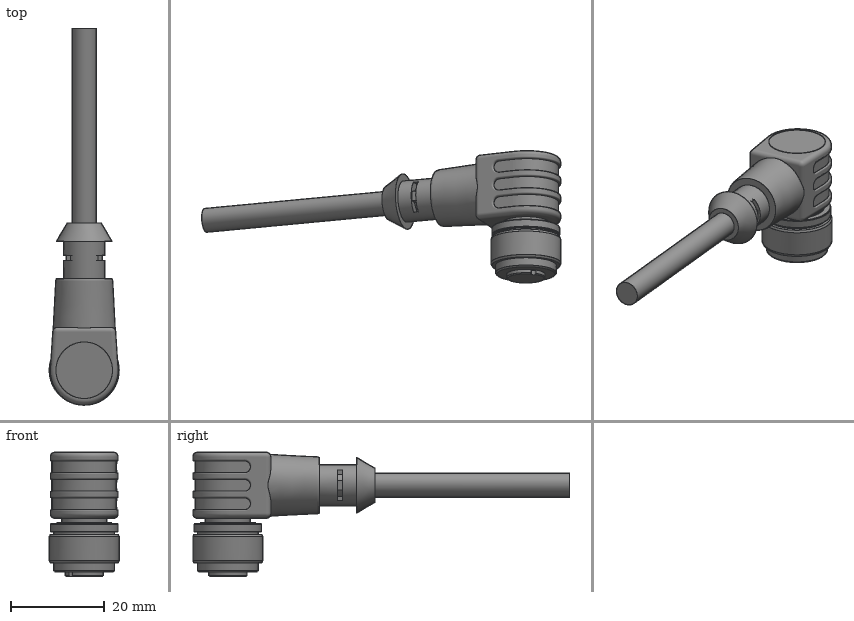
import cadquery as cq
import math


GRIP_BOTTOM = 12.4
GRIP_TOP = 26.5
GRIP_HEIGHT = GRIP_TOP - GRIP_BOTTOM
AXIS_Z = (GRIP_BOTTOM + GRIP_TOP) / 2
GRIP_RADIUS = 7.2
GRIP_ARC_Y = -0.25
GRIP_TAPER_Y = 0.3
GRIP_BACK_Y = 9.2
GRIP_BACK_HALF_WIDTH = 6.7
GRIP_FILLET = 1.05
LABEL_RADIUS = 6.0
LABEL_DEPTH = 0.1

GROOVE_COUNT = 3
GROOVE_PITCH = 3.95
GROOVE_WIDTH = 2.5
GROOVE_DEPTH = 0.5
GROOVE_EDGE_FILLET = 0.3
GROOVE_END_Y = 4.8
EDGE_TOLERANCE = 0.04

SLEEVE_START_Y = GRIP_BACK_Y - GRIP_FILLET
SLEEVE_END_Y = 19.55
SLEEVE_START_RADIUS = 6.7
SLEEVE_END_RADIUS = 6.1
SLEEVE_CHAMFER_LENGTH = 0.5
SLEEVE_CHAMFER_DEPTH = 0.2
NECK_RADIUS = 4.4
FLANGE_START_Y = 27.5
FLANGE_END_Y = 31.45
FLANGE_LARGE_RADIUS = 5.95
FLANGE_SMALL_RADIUS = 3.6

WINDOW_Y = 24.0
WINDOW_WIDTH = 1.05
WINDOW_HEIGHT = 6.6
WINDOW_BAR_HEIGHT = 2.1
WINDOW_BAR_X = 3.9
WINDOW_WEB_HALF_THICKNESS = 1.05

STEM_RADIUS = 4.8
INSERT_RADIUS = 4.1
INSERT_CHAMFER = 0.25
KEYWAY_RADIUS = 0.6
KEYWAY_DEPTH = 1.0
KEYWAY_ANGLE = 225

CABLE_RADIUS = 2.6
CABLE_START_Y = SLEEVE_END_Y
CABLE_END_Y = 72.95

NUT_RADIUS = 7.5
NUT_STEP_RADIUS = 6.5
NUT_RING_RADIUS = 7.2
NUT_TOP_RADIUS = 5.9
NUT_BOTTOM = 1.0
NUT_BODY_BOTTOM = 2.9
NUT_BODY_TOP = 9.0
NUT_RING_BOTTOM = 9.5
NUT_RING_TOP = 11.25
NUT_TOP = 11.5
NUT_CHAMFER_HEIGHT = 0.5
NUT_CHAMFER_DEPTH = 0.25
NUT_RIM_CHAMFER = 0.3
NUT_RING_CHAMFER = 0.2


def cylinder_along_y(radius, start_y, end_y):
    """Cylinder on the cable axis."""
    plane = cq.Plane(origin=(0, start_y, AXIS_Z), xDir=(1, 0, 0), normal=(0, 1, 0))
    return cq.Workplane(plane).circle(radius).extrude(end_y - start_y)


def grip_outline():
    """D-shaped plan of the grip, on its bottom plane."""
    return (
        cq.Workplane("XY", origin=(0, 0, GRIP_BOTTOM))
        .moveTo(GRIP_BACK_HALF_WIDTH, GRIP_BACK_Y)
        .lineTo(GRIP_RADIUS, GRIP_TAPER_Y)
        .lineTo(GRIP_RADIUS, GRIP_ARC_Y)
        .threePointArc((0, GRIP_ARC_Y - GRIP_RADIUS), (-GRIP_RADIUS, GRIP_ARC_Y))
        .lineTo(-GRIP_RADIUS, GRIP_TAPER_Y)
        .lineTo(-GRIP_BACK_HALF_WIDTH, GRIP_BACK_Y)
        .close()
    )


def finger_groove(center_z):
    """Band of constant depth around the front of the grip, with round ends on both sides."""
    length = GROOVE_END_Y + 2 * GRIP_RADIUS
    slot = (
        cq.Workplane("YZ")
        .center(GROOVE_END_Y - length / 2, center_z)
        .slot2D(length, GROOVE_WIDTH)
        .extrude(2 * GRIP_RADIUS, both=True)
    )
    core = grip_outline().offset2D(-GROOVE_DEPTH).extrude(GRIP_HEIGHT)
    return slot.cut(core)


def round_groove_edges(grip, groove_heights):
    """Round the outer edges of the grooves; their floor edges lie inside a half-depth core."""
    half_depth_core = grip_outline().offset2D(-GROOVE_DEPTH / 2).extrude(GRIP_HEIGHT).val()

    def is_outer_groove_edge(edge):
        box = edge.BoundingBox()
        edge_height = (box.zmin + box.zmax) / 2
        distance = min(abs(edge_height - height) for height in groove_heights)
        borders_groove = distance + box.zlen / 2 < GROOVE_WIDTH / 2 + EDGE_TOLERANCE
        return borders_groove and not half_depth_core.isInside(edge.positionAt(0.5))

    return grip.edges().filter(is_outer_groove_edge).fillet(GROOVE_EDGE_FILLET)


def make_grip():
    grip = grip_outline().extrude(GRIP_HEIGHT)
    grip = grip.faces("|Z or >Y").edges().fillet(GRIP_FILLET)
    middle_index = (GROOVE_COUNT - 1) / 2
    groove_heights = [AXIS_Z + (index - middle_index) * GROOVE_PITCH for index in range(GROOVE_COUNT)]
    for height in groove_heights:
        grip = grip.cut(finger_groove(height))
    grip = round_groove_edges(grip, groove_heights)
    label = cq.Workplane("XY", origin=(0, 0, GRIP_TOP)).circle(LABEL_RADIUS).extrude(-LABEL_DEPTH)
    return grip.cut(label)


def make_outlet():
    """Sleeve, neck and flange, turned about the cable axis."""
    return (
        cq.Workplane("XY", origin=(0, 0, AXIS_Z))
        .moveTo(0, SLEEVE_START_Y)
        .lineTo(SLEEVE_START_RADIUS, SLEEVE_START_Y)
        .lineTo(SLEEVE_END_RADIUS, SLEEVE_END_Y - SLEEVE_CHAMFER_LENGTH)
        .lineTo(SLEEVE_END_RADIUS - SLEEVE_CHAMFER_DEPTH, SLEEVE_END_Y)
        .lineTo(NECK_RADIUS, SLEEVE_END_Y)
        .lineTo(NECK_RADIUS, FLANGE_START_Y)
        .lineTo(FLANGE_LARGE_RADIUS, FLANGE_START_Y)
        .lineTo(FLANGE_SMALL_RADIUS, FLANGE_END_Y)
        .lineTo(0, FLANGE_END_Y)
        .close()
        .revolve(360, (0, 0, 0), (0, 1, 0))
    )


def neck_window(side):
    """Window in one side of the neck (side is -1 or 1), leaving a bar across its middle."""
    opening_depth = NECK_RADIUS - WINDOW_WEB_HALF_THICKNESS
    opening = (
        cq.Workplane("XY")
        .box(opening_depth, WINDOW_WIDTH, WINDOW_HEIGHT)
        .translate((side * (WINDOW_WEB_HALF_THICKNESS + opening_depth / 2), WINDOW_Y, AXIS_Z))
    )
    bar = (
        cq.Workplane("XY")
        .box(WINDOW_BAR_X, WINDOW_WIDTH, WINDOW_BAR_HEIGHT)
        .translate((side * WINDOW_BAR_X / 2, WINDOW_Y, AXIS_Z))
    )
    return opening.cut(bar)


def make_stem():
    """Stem under the grip that steps down to the keyed contact insert."""
    stem = cq.Workplane("XY", origin=(0, 0, NUT_TOP)).circle(STEM_RADIUS).extrude(GRIP_BOTTOM - NUT_TOP)
    insert = cq.Workplane("XY").circle(INSERT_RADIUS).extrude(NUT_TOP)
    insert = insert.faces("<Z").chamfer(INSERT_CHAMFER)
    angle = math.radians(KEYWAY_ANGLE)
    keyway = (
        cq.Workplane("XY")
        .center(INSERT_RADIUS * math.cos(angle), INSERT_RADIUS * math.sin(angle))
        .circle(KEYWAY_RADIUS)
        .extrude(KEYWAY_DEPTH)
    )
    return stem.union(insert.cut(keyway))


def make_housing():
    housing = make_grip().union(make_outlet()).union(make_stem())
    for side in (-1, 1):
        housing = housing.cut(neck_window(side))
    return housing.cut(cylinder_along_y(CABLE_RADIUS, CABLE_START_Y, FLANGE_END_Y))


def make_cable():
    return cylinder_along_y(CABLE_RADIUS, CABLE_START_Y, CABLE_END_Y)


def make_nut():
    """Coupling nut, turned about Z, that turns on the contact insert."""
    chamfered_radius = NUT_RADIUS - NUT_CHAMFER_DEPTH
    ring_edge_radius = NUT_RING_RADIUS - NUT_RING_CHAMFER
    return (
        cq.Workplane("XZ")
        .moveTo(INSERT_RADIUS, NUT_BOTTOM)
        .lineTo(NUT_STEP_RADIUS - NUT_RIM_CHAMFER, NUT_BOTTOM)
        .lineTo(NUT_STEP_RADIUS, NUT_BOTTOM + NUT_RIM_CHAMFER)
        .lineTo(NUT_STEP_RADIUS, NUT_BODY_BOTTOM)
        .lineTo(chamfered_radius, NUT_BODY_BOTTOM)
        .lineTo(NUT_RADIUS, NUT_BODY_BOTTOM + NUT_CHAMFER_HEIGHT)
        .lineTo(NUT_RADIUS, NUT_BODY_TOP - NUT_CHAMFER_HEIGHT)
        .lineTo(chamfered_radius, NUT_BODY_TOP)
        .lineTo(NUT_STEP_RADIUS, NUT_BODY_TOP)
        .lineTo(NUT_STEP_RADIUS, NUT_RING_BOTTOM)
        .lineTo(ring_edge_radius, NUT_RING_BOTTOM)
        .lineTo(NUT_RING_RADIUS, NUT_RING_BOTTOM + NUT_RING_CHAMFER)
        .lineTo(NUT_RING_RADIUS, NUT_RING_TOP - NUT_RING_CHAMFER)
        .lineTo(ring_edge_radius, NUT_RING_TOP)
        .lineTo(NUT_TOP_RADIUS, NUT_RING_TOP)
        .lineTo(NUT_TOP_RADIUS, NUT_TOP)
        .lineTo(INSERT_RADIUS, NUT_TOP)
        .close()
        .revolve(360, (0, 0, 0), (0, 1, 0))
    )


housing = make_housing()
cable = make_cable()
nut = make_nut()

result = cq.Compound.makeCompound([housing.val(), cable.val(), nut.val()])